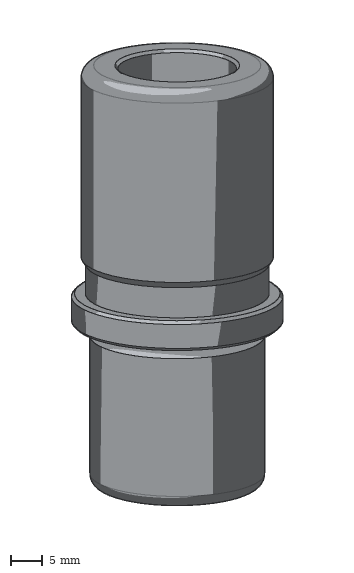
import cadquery as cq

total_height = 70.0
end_round = 2.0

bore_radius = 9.5
bore_chamfer = 0.5

spigot_radius = 14.1
undercut_depth = 1.0
undercut_height = 2.0
undercut_arc_radius = (undercut_height**2 + undercut_depth**2) / (2 * undercut_depth)

flange_radius = 17.0
flange_bottom = 27.0
flange_thickness = 5.0
flange_top = flange_bottom + flange_thickness
flange_chamfer = 0.5

body_radius = 15.5
groove_depth = 0.7
body_bottom_taper = 1.05
body_straight_bottom = 38.1

undercut_radius = spigot_radius - undercut_depth
undercut_bottom = flange_bottom - undercut_height
groove_radius = body_radius - groove_depth
groove_top = body_straight_bottom - body_bottom_taper


def revolved_sleeve():
    """Revolve the half section, from the bottom of the bore up the outside."""
    section = (
        cq.Workplane("XZ")
        .moveTo(bore_radius + bore_chamfer, 0)
        .lineTo(spigot_radius - end_round, 0)
        .radiusArc((spigot_radius, end_round), -end_round)
        .lineTo(spigot_radius, undercut_bottom)
        .radiusArc((undercut_radius, flange_bottom), undercut_arc_radius)
        .lineTo(flange_radius - flange_chamfer, flange_bottom)
        .lineTo(flange_radius, flange_bottom + flange_chamfer)
        .lineTo(flange_radius, flange_top - flange_chamfer)
        .lineTo(flange_radius - flange_chamfer, flange_top)
        .lineTo(groove_radius, flange_top)
        .lineTo(groove_radius, groove_top)
        .lineTo(body_radius, body_straight_bottom)
        .lineTo(body_radius, total_height - end_round)
        .radiusArc((body_radius - end_round, total_height), -end_round)
        .lineTo(bore_radius + bore_chamfer, total_height)
        .lineTo(bore_radius, total_height - bore_chamfer)
        .lineTo(bore_radius, bore_chamfer)
        .close()
    )
    return section.revolve(360, (0, 0, 0), (0, 1, 0))


result = revolved_sleeve()